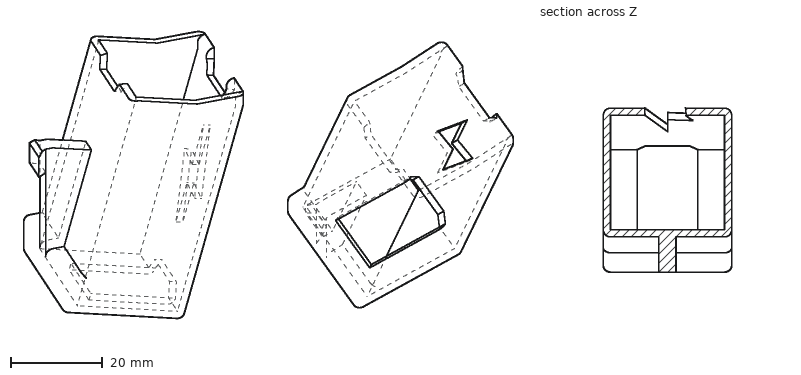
import math

import cadquery as cq

width = 28.1
wall = 1.65
edge_radius = 1.65
lean = 15.0

heel_y = 27.9
body_depth = 27.25
back_y = 41.9
back_top_z = 55.05
top_z = 58.7
foot_top_z = 16.7
lip_radius = 1.8

opening_width = 13.15
opening_neck = 9.6
taper_height = 3.1
low_notch_top = wall + taper_height
rim_notch_floor = 51.25
floor_slot_length = 20.25

bolt_height = 29.25
bolt_half_height = 12.25
bolt_half_width = 5.5
bolt_tip_offset = 3.05
bolt_waist_offset = 2.3

rib_width = 3.8
rib_top_z = 42.6
rib_flat = 1.65
hook_width = 6.35
hook_bottom_z = 36.6
hook_reach = 2.0
hook_chamfer = 1.0

clearance = 11.75
select_margin = 0.6
slope = math.tan(math.radians(lean))
cosine = math.cos(math.radians(lean))
sine = math.sin(math.radians(lean))
heel_z = edge_radius * (1 - cosine - sine)

back_plane = cq.Plane(origin=(0, heel_y, heel_z), xDir=(1, 0, 0), normal=(0, -cosine, sine))


def leaning_point(forward, up):
    """Return (Y, Z) at distances along the floor and up the back wall from the heel."""
    return (heel_y - forward * cosine + up * sine, heel_z + forward * sine + up * cosine)


def front_face_y(z):
    front_y, front_z = leaning_point(body_depth, 0)
    return front_y + (z - front_z) * slope


def side_prism(points, thickness):
    """Extrude a YZ outline symmetrically about X = 0."""
    return cq.Workplane("YZ").polyline(points).close().extrude(thickness / 2, both=True)


def edge_selector(y_min, y_max, z_min, z_max):
    """Select edges whose centers lie in a YZ range, at any X."""
    return cq.selectors.BoxSelector(
        (-width, y_min - select_margin, z_min - select_margin),
        (width, y_max + select_margin, z_max + select_margin),
    )


def make_body():
    rim_front_y = front_face_y(top_z)
    rim_flat_y = rim_front_y + wall / cosine
    rim_kink_y = rim_flat_y + (top_z - back_top_z) / slope
    outline = [
        (heel_y, heel_z),
        (0, heel_z + heel_y * slope),
        (0, foot_top_z),
        (front_face_y(foot_top_z), foot_top_z),
        (rim_front_y, top_z),
        (rim_flat_y, top_z),
        (rim_kink_y, back_top_z),
        (back_y, back_top_z),
        (back_y, heel_z + (back_y - heel_y) / slope),
    ]
    body = side_prism(outline, width)
    lower_edges = body.edges("|X").edges(
        edge_selector(0, heel_y, heel_z, foot_top_z)
        - edge_selector(front_face_y(foot_top_z), front_face_y(foot_top_z), foot_top_z, foot_top_z)
    )
    rim = edge_selector(rim_front_y, back_y, back_top_z, top_z)
    side_edges = body.faces("<X or >X").edges(cq.selectors.InverseSelector(rim))
    return lower_edges.add(side_edges).fillet(edge_radius)


def make_cavity():
    cavity_width = width - 2 * wall
    cavity = side_prism(
        [
            leaning_point(wall, wall),
            leaning_point(body_depth - wall, wall),
            leaning_point(body_depth - wall, top_z + clearance),
            leaning_point(wall, top_z + clearance),
        ],
        cavity_width,
    )
    inner_y = back_y - lip_radius
    upper_limit = side_prism(
        [(inner_y, heel_z), (inner_y, top_z + clearance),
         (-clearance, top_z + clearance), (-clearance, heel_z)],
        cavity_width,
    )
    lip_rounding = (
        cq.Workplane("YZ")
        .moveTo(inner_y, back_top_z - lip_radius)
        .radiusArc((back_y, back_top_z), lip_radius)
        .lineTo(inner_y, back_top_z)
        .close()
        .extrude(cavity_width / 2, both=True)
    )
    return cavity.intersect(upper_limit).union(lip_rounding)


def cut_openings(body):
    half = opening_width / 2
    neck = opening_neck / 2
    low_notch = (
        cq.Workplane(back_plane)
        .polyline([(-half, 0), (half, 0), (half, wall),
                   (neck, low_notch_top), (-neck, low_notch_top), (-half, wall)])
        .close()
        .extrude(2 * wall, both=True)
    )
    floor_slot = (
        cq.Workplane(back_plane)
        .rect(opening_width, 2 * wall)
        .extrude(floor_slot_length)
    )
    taper_end = rim_notch_floor + taper_height
    rim_notch = (
        cq.Workplane(back_plane)
        .polyline([(-neck, rim_notch_floor), (neck, rim_notch_floor), (half, taper_end),
                   (half, top_z + clearance), (-half, top_z + clearance), (-half, taper_end)])
        .close()
        .extrude(body_depth + clearance, both=True)
    )
    return body.cut(low_notch).cut(floor_slot).cut(rim_notch)


def make_bolt():
    half_bolt = [(0, bolt_half_height), (bolt_half_width, -bolt_tip_offset), (0, -bolt_waist_offset)]
    outline = half_bolt + [(-x, -y) for x, y in half_bolt]
    return (
        cq.Workplane(back_plane)
        .center(0, bolt_height)
        .polyline(outline)
        .close()
        .extrude(wall, both=True)
    )


def make_rib():
    rib_bottom_z = foot_top_z - edge_radius
    root = wall / 2
    root_top_y = front_face_y(rib_top_z) + root
    return side_prism(
        [
            (0, rib_bottom_z),
            (0, rib_top_z),
            (rib_flat, rib_top_z),
            (root_top_y, rib_top_z - (root_top_y - rib_flat) * slope),
            (front_face_y(rib_bottom_z) + root, rib_bottom_z),
        ],
        rib_width,
    )


def make_hook():
    flare = (
        cq.Workplane("XY", origin=(0, 0, hook_bottom_z))
        .polyline([(-rib_width / 2, 0), (rib_width / 2, 0),
                   (hook_width / 2, -hook_reach), (-hook_width / 2, -hook_reach)])
        .close()
        .extrude(rib_top_z - hook_bottom_z)
    )
    return flare.faces("<Y").edges(">Z").chamfer(hook_chamfer)


holder = cut_openings(make_body().cut(make_cavity())).cut(make_bolt())
result = holder.union(make_rib()).union(make_hook())